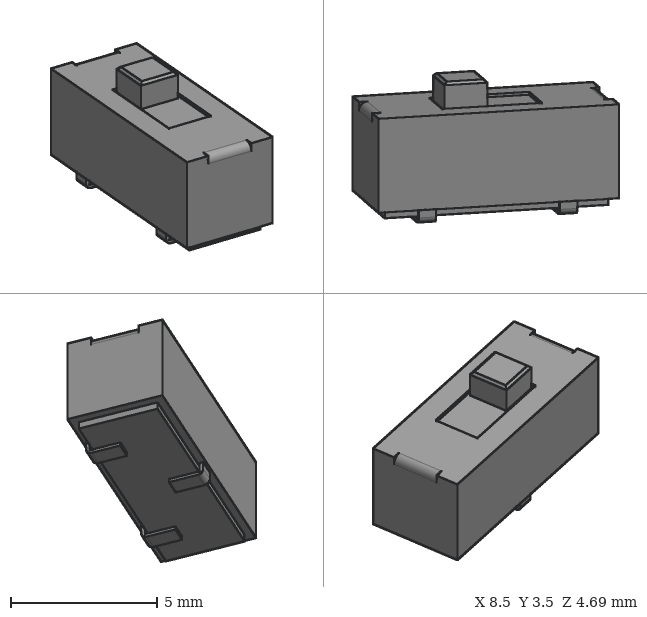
import cadquery as cq

housing_length = 8.5
housing_width = 3.5
housing_height = 3.3

tongue_width = 1.76
tongue_bend_radius = 0.3

window_length = 3.52
window_width = 1.725
window_depth = 0.1
actuator_side = 1.51
actuator_rise = 0.9
actuator_chamfer = 0.1
actuator_clearance = 0.1

base_length = 7.905
base_width = 2.91
base_thickness = 0.28

terminal_width = 0.61
terminal_thickness = 0.14
terminal_drop = 0.49
terminal_bend_radius = 0.2
terminal_pitch = 2.5
terminal_row_width = 3.31
foot_tip_gap = 0.78


def block(x_size, y_size, z_bottom, z_top, x_center=0):
    """Box centred on Y = 0 between two heights."""
    return (
        cq.Workplane("XY", origin=(x_center, 0, z_bottom))
        .rect(x_size, y_size)
        .extrude(z_top - z_bottom)
    )


def bend_relief(side):
    """Material outside the rounded tongue bend at the -X (side = -1) or +X (side = 1) end."""
    end_x = side * housing_length / 2
    bend_start_x = end_x - side * tongue_bend_radius
    bend_end_z = housing_height - tongue_bend_radius
    return (
        cq.Workplane("XZ", origin=(0, tongue_width / 2, 0))
        .moveTo(bend_start_x, housing_height)
        .lineTo(end_x, housing_height)
        .lineTo(end_x, bend_end_z)
        .radiusArc((bend_start_x, housing_height), -side * tongue_bend_radius)
        .close()
        .extrude(tongue_width)
    )


def terminal(x_center, side):
    """L-shaped terminal on the -Y (side = -1) or +Y (side = 1) edge of the housing."""
    outer_y = side * terminal_row_width / 2
    inner_y = outer_y - side * terminal_thickness
    tip_y = side * foot_tip_gap / 2
    foot_top = terminal_thickness - terminal_drop
    return (
        cq.Workplane("YZ", origin=(x_center - terminal_width / 2, 0, 0))
        .moveTo(outer_y, 0)
        .lineTo(outer_y, terminal_bend_radius - terminal_drop)
        .radiusArc(
            (outer_y - side * terminal_bend_radius, -terminal_drop),
            side * terminal_bend_radius,
        )
        .lineTo(tip_y, -terminal_drop)
        .lineTo(tip_y, foot_top)
        .lineTo(inner_y, foot_top)
        .lineTo(inner_y, 0)
        .close()
        .extrude(terminal_width)
    )


window_floor = housing_height - window_depth
housing = block(housing_length, housing_width, 0, housing_height)
housing = housing.cut(block(window_length, window_width, window_floor, housing_height))

for side in (-1, 1):
    housing = housing.cut(bend_relief(side))

actuator_x = -window_length / 2 + actuator_clearance + actuator_side / 2
actuator = block(
    actuator_side, actuator_side, window_floor, housing_height + actuator_rise, actuator_x
)
actuator = actuator.faces(">Z").chamfer(actuator_chamfer)

base_plate = block(base_length, base_width, -base_thickness, 0)

result = housing.union(actuator).union(base_plate)

for x_center, side in ((-terminal_pitch, -1), (terminal_pitch, -1), (0, 1)):
    result = result.union(terminal(x_center, side))